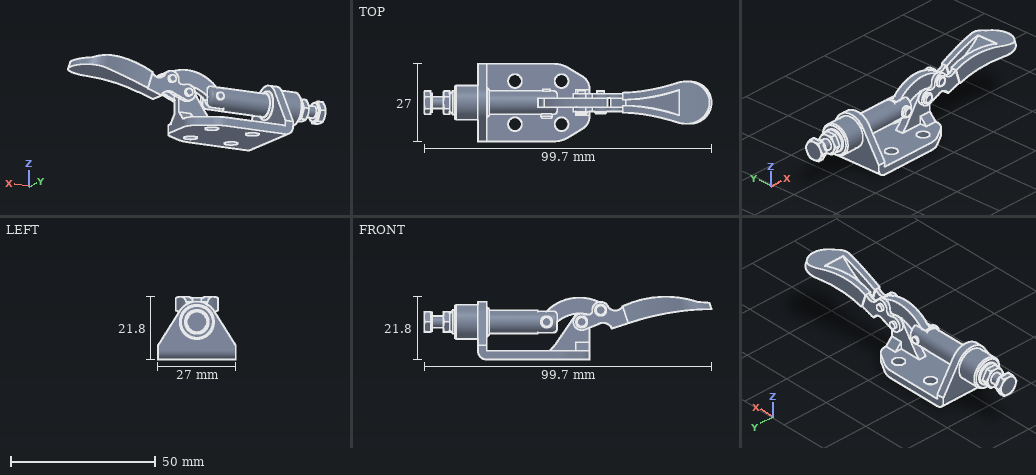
import cadquery as cq
import math


base_width = 27.0
base_half_width = base_width / 2
sheet = 3.1
bracket_front = 18.6
bracket_rear = 57.4
bend_radius = 3.0
nose_corner_x = 47.6
rear_edge_half = 7.6
taper_radius = 9.5
rear_radius = 5.2
hole_diameter = 4.7
hole_xs = (31.5, 47.6)
hole_y = 7.5

axis_z = 13.1
front_plate_radius = 7.1
front_plate_shoulder = 4.9

barrel_radius = 6.0
barrel_start = 10.6
barrel_chamfer = 0.5
collar_start = 10.0
collar_radius = 4.2
plunger_radius = 4.1
plunger_start = 8.9
plunger_end = 46.1
plunger_front_chamfer = 1.1
plunger_end_fillet = 1.4
ring_radius = 5.1
ring_length = 0.9
ring_chamfer = 0.7
spindle_radius = 2.1
hex_flats = 7.1
hex_chamfer = 0.3
head_length = 2.3
head_washer_radius = 3.3
head_washer_end = 2.9
nut_start = 6.7

plunger_pin = (42.5, axis_z)
post_pin = (54.6, axis_z)
handle_pin = (61.2, 17.1)
arm_thickness = 3.2
plate_thickness = 1.5
plate_outer = arm_thickness / 2 + plate_thickness
boss_radius = 2.9

pin_radius = 1.3
pin_head_radius = 2.0
pin_head_length = 0.8
pin_head_taper = 0.4
pin_head_taper_length = 0.6
link_pin_tail = 4.1
plunger_pin_head_face = 5.4
plunger_pin_tail = 4.7

arm_slot_start = 39.5
arm_outer_radius = 15.9
arm_outer_center = (53.8, 5.6)
arm_end_radius = 2.4
arm_inner_radius = 13.8
arm_inner_center = (54.6, 2.3)
arm_outer_start_x = 41.5
arm_outer_end_x = 62.8
arm_inner_start_x = 45.0

post_foot_x = 43.6
post_kink = (45.4, 5.2)
post_top_start_x = 52.7
post_top = 15.8
post_corner_radius = 2.8
gusset_start = 52.6
gusset_height = 3.0
gusset_half_width = 4.4

lever_lower_tangent = (55.8, 10.5)
lever_belly_start = (60.0, 12.1)
lever_belly_middle = (63.0, 12.6)
lever_dip = (66.0, 17.0)
lever_upper_boss_rear = (63.6, 18.7)
lever_upper_boss_front = (58.3, 17.1)
lever_neck_middle = (58.1, 16.1)
lever_neck_end = (57.2, 15.6)
lever_lower_boss_top = (56.0, 15.6)

grip_tilt = 18.0
grip_origin = (70.8, 12.6)
grip_length = 29.0
grip_front_height = 6.3
grip_front_half = 3.5
grip_end_radius = 7.4
grip_flare_length = 18.9
grip_flare_middle = (10.0, 4.5)
grip_crown = (83.8, 21.8)
grip_crown_end = (94.8, 20.0)
grip_tail_top = (99.0, 19.7)
grip_tail_bottom = (100.2, 17.4)
grip_underside_middle = (84.2, 16.0)
recess_floor = 2.9
recess_front_half = 1.0
recess_flare_middle = (9.8, 1.9)
recess_end = 19.5
recess_end_half = 4.4
overrun = 12.0
web_length = 6.0


def arc_point(center, radius, x):
    """Point at x on the upper half of a circle in the XZ plane."""
    return (x, center[1] + math.sqrt(radius ** 2 - (x - center[0]) ** 2))


def slab(y_min, y_max):
    """Side-view workplane facing -Y at y_max, with the depth down to y_min."""
    return cq.Workplane("XZ", origin=(0, y_max, 0)), y_max - y_min


def disc(center, radius, y_min, y_max):
    plane, depth = slab(y_min, y_max)
    return plane.center(*center).circle(radius).extrude(depth)


def rod(x_start, x_end, radius):
    return cq.Workplane("YZ", origin=(x_start, 0, axis_z)).circle(radius).extrude(x_end - x_start)


def hexagon(x_start, length):
    corners = hex_flats / math.cos(math.radians(30))
    prism = cq.Workplane("YZ", origin=(x_start, 0, axis_z)).polygon(6, corners).extrude(length)
    envelope = rod(x_start, x_start + length, corners / 2)
    return prism.intersect(envelope.faces("<X").chamfer(hex_chamfer, (corners - hex_flats) / 2))


def grip_plane(height=0.0):
    """Plane along the grip, raised by height along the tilted normal."""
    tilt = math.radians(grip_tilt)
    normal = (-math.sin(tilt), 0, math.cos(tilt))
    origin = (grip_origin[0] + height * normal[0], 0, grip_origin[1] + height * normal[2])
    return cq.Plane(origin=origin, xDir=(math.cos(tilt), 0, math.sin(tilt)), normal=normal)


def grip_point(along, height):
    """XZ position of a point given in the tilted grip frame."""
    point = grip_plane().toWorldCoords((along, 0, height))
    return (point.x, point.z)


def make_base():
    base = (
        cq.Workplane("XY")
        .moveTo(bracket_front, -base_half_width)
        .lineTo(nose_corner_x, -base_half_width)
        .lineTo(bracket_rear, -rear_edge_half)
        .lineTo(bracket_rear, rear_edge_half)
        .lineTo(nose_corner_x, base_half_width)
        .lineTo(bracket_front, base_half_width)
        .close()
        .extrude(sheet)
    )
    for side in (-1, 1):
        base = base.edges(cq.NearestToPointSelector((nose_corner_x, side * base_half_width, sheet / 2)))
        base = base.fillet(taper_radius)
        base = base.edges(cq.NearestToPointSelector((bracket_rear, side * rear_edge_half, sheet / 2)))
        base = base.fillet(rear_radius)
    holes = [(x, side * hole_y) for x in hole_xs for side in (-1, 1)]
    return base.cut(cq.Workplane("XY").pushPoints(holes).circle(hole_diameter / 2).extrude(sheet))


def make_front_plate():
    rise = axis_z - front_plate_shoulder
    reach = math.hypot(base_half_width, rise)
    tangent_angle = math.acos(front_plate_radius / reach) - math.atan2(rise, base_half_width)
    tangent_y = front_plate_radius * math.cos(tangent_angle)
    tangent_z = axis_z + front_plate_radius * math.sin(tangent_angle)
    return (
        cq.Workplane("YZ", origin=(bracket_front, 0, 0))
        .moveTo(-base_half_width, 0)
        .lineTo(base_half_width, 0)
        .lineTo(base_half_width, front_plate_shoulder)
        .lineTo(tangent_y, tangent_z)
        .threePointArc((0, axis_z + front_plate_radius), (-tangent_y, tangent_z))
        .lineTo(-base_half_width, front_plate_shoulder)
        .close()
        .extrude(sheet)
    )


def make_bracket():
    bracket = make_base().union(make_front_plate())
    return bracket.edges(cq.NearestToPointSelector((bracket_front, 0, 0))).fillet(bend_radius)


def make_plunger():
    barrel = rod(barrel_start, bracket_front, barrel_radius).faces("<X").chamfer(barrel_chamfer)
    collar = rod(collar_start, barrel_start, collar_radius)
    bracket_back = bracket_front + sheet
    ring = rod(bracket_back, bracket_back + ring_length, ring_radius).faces(">X").chamfer(ring_chamfer)
    plunger = rod(plunger_start, plunger_end, plunger_radius)
    plunger = plunger.faces("<X").chamfer(plunger_front_chamfer)
    plunger = plunger.faces(">X").edges().fillet(plunger_end_fillet)
    slot_length = plunger_end - arm_slot_start
    slot = cq.Workplane("XY").box(slot_length, arm_thickness, 2 * plunger_radius)
    slot = slot.translate((arm_slot_start + slot_length / 2, 0, axis_z))
    return plunger.cut(slot).union(barrel).union(collar).union(ring)


def make_spindle():
    spindle = rod(0, plunger_start, spindle_radius)
    spindle = spindle.union(hexagon(0, head_length))
    spindle = spindle.union(rod(head_length, head_washer_end, head_washer_radius))
    return spindle.union(hexagon(nut_start, plunger_start - nut_start))


def make_post():
    plane, depth = slab(-arm_thickness / 2, arm_thickness / 2)
    post = (
        plane.moveTo(post_foot_x, sheet)
        .lineTo(*post_kink)
        .lineTo(post_top_start_x, post_top)
        .lineTo(bracket_rear, post_top)
        .lineTo(bracket_rear, sheet)
        .close()
        .extrude(depth)
    )
    post = post.edges(cq.NearestToPointSelector((bracket_rear, 0, post_top))).fillet(post_corner_radius)
    gusset = (
        cq.Workplane("YZ", origin=(gusset_start, 0, sheet))
        .moveTo(-gusset_half_width, 0)
        .lineTo(-arm_thickness / 2, gusset_height)
        .lineTo(arm_thickness / 2, gusset_height)
        .lineTo(gusset_half_width, 0)
        .close()
        .extrude(bracket_rear - gusset_start)
    )
    return post.union(gusset)


def make_arm():
    half = arm_thickness / 2
    plane, depth = slab(-half, half)
    outer = [arc_point(arm_outer_center, arm_outer_radius, x)
             for x in (arm_outer_start_x, arm_outer_center[0], arm_outer_end_x)]
    inner_middle_x = (arm_inner_center[0] + arm_inner_start_x) / 2
    inner = [arc_point(arm_inner_center, arm_inner_radius, x)
             for x in (arm_inner_center[0], inner_middle_x, arm_inner_start_x)]
    band = (
        plane.moveTo(*outer[0])
        .threePointArc(outer[1], outer[2])
        .lineTo(handle_pin[0], handle_pin[1] - arm_end_radius)
        .lineTo(*inner[0])
        .threePointArc(inner[1], inner[2])
        .lineTo(*plunger_pin)
        .close()
        .extrude(depth)
    )
    band = band.union(disc(plunger_pin, boss_radius, -half, half))
    return band.union(disc(handle_pin, arm_end_radius, -half, half))


def make_lever():
    """Two profiled plates joined by a web along their lower edge."""
    plane, depth = slab(-plate_outer, plate_outer)
    heel = grip_point(-web_length, 0)
    lever = (
        plane.moveTo(*lever_lower_tangent)
        .lineTo(*lever_belly_start)
        .threePointArc(lever_belly_middle, heel)
        .lineTo(*grip_origin)
        .lineTo(*grip_point(0, grip_front_height))
        .threePointArc(lever_dip, lever_upper_boss_rear)
        .threePointArc((handle_pin[0], handle_pin[1] + boss_radius), lever_upper_boss_front)
        .threePointArc(lever_neck_middle, lever_neck_end)
        .lineTo(*lever_lower_boss_top)
        .threePointArc((post_pin[0] - boss_radius, axis_z), lever_lower_tangent)
        .close()
        .extrude(depth)
    )
    plane, depth = slab(-arm_thickness / 2, arm_thickness / 2)
    gap = (
        plane.moveTo(bracket_front, 0)
        .lineTo(*grip_point(-web_length, -axis_z))
        .lineTo(*grip_point(-web_length, plate_thickness))
        .lineTo(*grip_point(0, plate_thickness))
        .lineTo(*grip_point(0, overrun))
        .lineTo(bracket_front, grip_crown[1])
        .close()
        .extrude(depth)
    )
    return lever.cut(gap)


def make_grip():
    plane, depth = slab(-grip_end_radius, grip_end_radius)
    end_center = grip_length - grip_end_radius
    profile = (
        plane.moveTo(*grip_origin)
        .lineTo(*grip_point(0, grip_front_height))
        .threePointArc(grip_crown, grip_crown_end)
        .lineTo(*grip_tail_top)
        .lineTo(*grip_tail_bottom)
        .threePointArc(grip_underside_middle, grip_origin)
        .close()
        .extrude(depth)
    )
    end_half = math.sqrt(grip_end_radius ** 2 - (end_center - grip_flare_length) ** 2)
    outline = (
        cq.Workplane(grip_plane(-overrun))
        .moveTo(0, grip_front_half)
        .threePointArc(grip_flare_middle, (grip_flare_length, end_half))
        .threePointArc((grip_length, 0), (grip_flare_length, -end_half))
        .threePointArc((grip_flare_middle[0], -grip_flare_middle[1]), (0, -grip_front_half))
        .close()
        .extrude(2 * overrun)
    )
    recess = (
        cq.Workplane(grip_plane(recess_floor))
        .moveTo(0, recess_front_half)
        .threePointArc(recess_flare_middle, (recess_end, recess_end_half))
        .lineTo(recess_end, -recess_end_half)
        .threePointArc((recess_flare_middle[0], -recess_flare_middle[1]), (0, -recess_front_half))
        .close()
        .extrude(overrun)
    )
    return profile.intersect(outline).cut(recess)


def make_pin(center, head_face, tail):
    head = disc(center, pin_head_radius, -head_face, -head_face + 2 * pin_head_length)
    head = head.faces("<Y").chamfer(pin_head_taper_length, pin_head_taper)
    return disc(center, pin_radius, -head_face + pin_head_length, tail).union(head)


result = make_bracket()
for piece in (
    make_plunger(),
    make_spindle(),
    make_post(),
    make_arm(),
    make_lever(),
    make_grip(),
    make_pin(plunger_pin, plunger_pin_head_face, plunger_pin_tail),
    make_pin(post_pin, plate_outer + pin_head_length, link_pin_tail),
    make_pin(handle_pin, plate_outer + pin_head_length, link_pin_tail),
):
    result = result.union(piece)